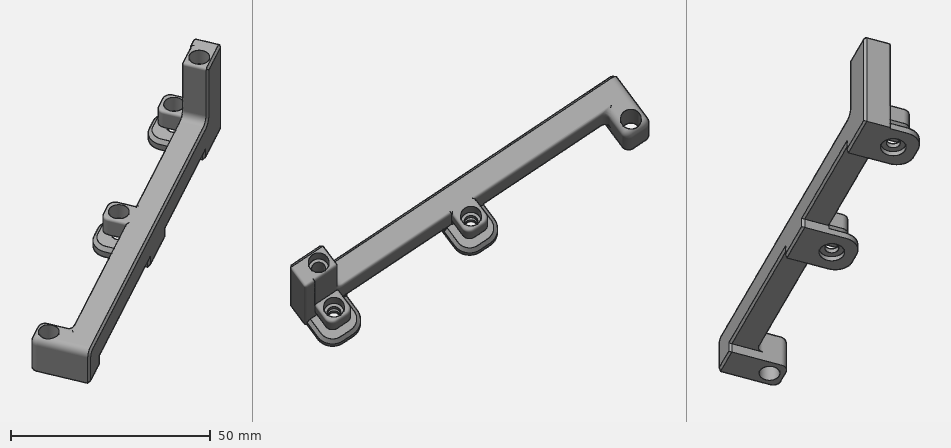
import cadquery as cq

LENGTH = 99.75
RIGHT_X = 16.4
BAR_LEFT_X = 9.2
BAR_BOTTOM_Z = 2.8
BAR_TOP_Z = 10.7
TOWER_DEPTH = 10.1
TOWER_TOP_Z = 28.7
TOWER_FRONT_Y = LENGTH - TOWER_DEPTH
TOWER_ROOT_RADIUS = 2.0
EDGE_RADIUS = 0.7
RIGHT_FACE_CHAMFER = 0.6
RECESS_DEPTH = 0.2

FOOT_LEFT_X = 0.4
FOOT_DEPTH = 7.8
FOOT_RADIUS = 2.0
FOOT_CORNER_RADIUS = 1.7
FOOT_HOLE_X = 4.1

CLIP_X = 6.1
CLIP_YS = (51.4, 93.3)
CORNER_FLAT = 1.5
BLOCK_HALF_WIDTH = 3.6
BLOCK_BOTTOM_Z = 4.5
BLOCK_CHAMFER = 1.0
PAD_HALF_WIDTH = 6.1
PAD_CHAMFER = 1.0
JOIN_OVERLAP = 1.5
JOIN_X = BAR_LEFT_X + JOIN_OVERLAP

WIDE_HOLE = 5.2
NARROW_HOLE = 3.5
WIDE_HOLE_DEPTH = 4.6
TOWER_HOLE_DEPTH = 12.0
PAD_COUNTERBORE = 6.4
PAD_COUNTERBORE_DEPTH = 1.4
GAP_CLEARANCE = 6.4
TOWER_HOLE_X = (BAR_LEFT_X + RIGHT_X) / 2

MID_CLIP_Y, END_CLIP_Y = CLIP_YS


def box(x_range, y_range, z_range):
    """Box spanning the given (low, high) ranges."""
    spans = (x_range, y_range, z_range)
    sizes = [high - low for low, high in spans]
    corner = tuple(low for low, high in spans)
    return cq.Workplane("XY").box(*sizes, centered=False).translate(corner)


def cylinder(diameter, x, y, bottom_z, top_z):
    """Upright cylinder between two heights."""
    base = cq.Workplane("XY", origin=(x, y, bottom_z))
    return base.circle(diameter / 2).extrude(top_z - bottom_z)


def make_frame(left_x):
    """Bar, tower and the downward soles under each clip and the foot, with a left face at left_x."""
    mid_low, mid_high = MID_CLIP_Y - PAD_HALF_WIDTH, MID_CLIP_Y + PAD_HALF_WIDTH
    end_low = END_CLIP_Y - PAD_HALF_WIDTH
    frame = (
        cq.Workplane("YZ", origin=(left_x, 0, 0))
        .moveTo(0, 0)
        .lineTo(FOOT_DEPTH, 0)
        .lineTo(FOOT_DEPTH, BAR_BOTTOM_Z)
        .lineTo(mid_low, BAR_BOTTOM_Z)
        .lineTo(mid_low, 0)
        .lineTo(mid_high, 0)
        .lineTo(mid_high, BAR_BOTTOM_Z)
        .lineTo(end_low, BAR_BOTTOM_Z)
        .lineTo(end_low, 0)
        .lineTo(LENGTH, 0)
        .lineTo(LENGTH, TOWER_TOP_Z)
        .lineTo(TOWER_FRONT_Y, TOWER_TOP_Z)
        .lineTo(TOWER_FRONT_Y, BAR_TOP_Z + TOWER_ROOT_RADIUS)
        .radiusArc((TOWER_FRONT_Y - TOWER_ROOT_RADIUS, BAR_TOP_Z), TOWER_ROOT_RADIUS)
        .lineTo(FOOT_RADIUS, BAR_TOP_Z)
        .radiusArc((0, BAR_TOP_Z - FOOT_RADIUS), -FOOT_RADIUS)
        .close()
        .extrude(RIGHT_X - left_x)
    )
    frame = frame.faces(">X").chamfer(RIGHT_FACE_CHAMFER)
    tower_top_edges = frame.faces(">Z").edges("<Y or >Y or <X")
    top_edge = cq.selectors.NearestToPointSelector((left_x, LENGTH / 2, BAR_TOP_Z))
    back_edge = cq.selectors.NearestToPointSelector((left_x, LENGTH, TOWER_TOP_Z / 2))
    rounded = tower_top_edges.add(frame.edges(top_edge)).add(frame.edges(back_edge))
    return rounded.fillet(EDGE_RADIUS)


def make_body():
    """Frame whose left face steps back between the far sides of the two blocks."""
    recess_x = BAR_LEFT_X + RECESS_DEPTH
    recess_start = MID_CLIP_Y + BLOCK_HALF_WIDTH
    upper_end = END_CLIP_Y + BLOCK_HALF_WIDTH
    lower_end = END_CLIP_Y - BLOCK_HALF_WIDTH
    block_wall_z = BLOCK_BOTTOM_Z + BLOCK_CHAMFER
    x_range = (0, RIGHT_X)
    upper = box(x_range, (recess_start, upper_end), (block_wall_z, TOWER_TOP_Z))
    lower = box(x_range, (recess_start, lower_end), (BAR_BOTTOM_Z, block_wall_z))
    return make_frame(BAR_LEFT_X).cut(upper).cut(lower).union(make_frame(recess_x))


def make_foot():
    """Rounded lug that carries the foot hole."""
    foot = box((FOOT_LEFT_X, JOIN_X), (0, FOOT_DEPTH), (0, BAR_TOP_Z))
    foot = foot.edges("|Z and <X").fillet(FOOT_RADIUS)
    return foot.faces(">Z").edges("not >X").fillet(FOOT_RADIUS)


def clip_plate(center_y, half_width, bottom_z, top_z):
    """Plate centred on a clip hole, rounded on its free side and running into the bar."""
    left_x = CLIP_X - half_width
    y_range = (center_y - half_width, center_y + half_width)
    plate = box((left_x, JOIN_X), y_range, (bottom_z, top_z))
    return plate.edges("|Z and <X").fillet(half_width - CORNER_FLAT)


def make_block(center_y):
    """Upper clip block, level with the top of the bar."""
    block = clip_plate(center_y, BLOCK_HALF_WIDTH, BLOCK_BOTTOM_Z, BAR_TOP_Z)
    block = block.faces("<Z").edges("not >X").chamfer(BLOCK_CHAMFER)
    return block.faces(">Z").edges("not >X").fillet(EDGE_RADIUS)


def make_pad(center_y):
    """Lower clip pad with a chamfered top edge."""
    pad = clip_plate(center_y, PAD_HALF_WIDTH, 0, BAR_BOTTOM_Z)
    return pad.faces(">Z").edges("not >X").chamfer(PAD_CHAMFER)


result = make_body().union(make_foot())
inner_corner = cq.selectors.NearestToPointSelector((BAR_LEFT_X, FOOT_DEPTH, BAR_TOP_Z / 2))
result = result.edges(inner_corner).fillet(FOOT_CORNER_RADIUS)
result = result.cut(cylinder(WIDE_HOLE, FOOT_HOLE_X, FOOT_DEPTH / 2, 0, BAR_TOP_Z))

for clip_y in CLIP_YS:
    result = result.union(make_block(clip_y)).union(make_pad(clip_y))
    result = result.cut(cylinder(PAD_COUNTERBORE, CLIP_X, clip_y, 0, PAD_COUNTERBORE_DEPTH))
    result = result.cut(cylinder(GAP_CLEARANCE, CLIP_X, clip_y, BAR_BOTTOM_Z, BLOCK_BOTTOM_Z))
    result = result.cut(cylinder(NARROW_HOLE, CLIP_X, clip_y, 0, BAR_TOP_Z))
    result = result.cut(cylinder(WIDE_HOLE, CLIP_X, clip_y, BAR_TOP_Z - WIDE_HOLE_DEPTH, BAR_TOP_Z))

for diameter, depth in ((NARROW_HOLE, TOWER_HOLE_DEPTH), (WIDE_HOLE, WIDE_HOLE_DEPTH)):
    hole = cylinder(diameter, TOWER_HOLE_X, END_CLIP_Y, TOWER_TOP_Z - depth, TOWER_TOP_Z)
    result = result.cut(hole)